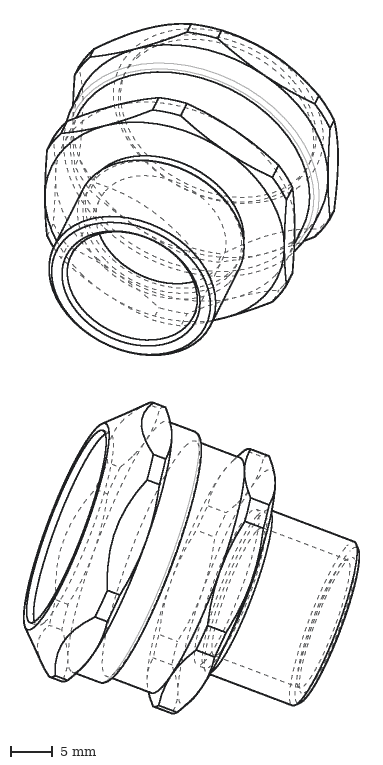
import cadquery as cq
import math


spigot_diameter = 20.9
spigot_length = 13.0
spigot_chamfer = 0.5
relief_diameter = spigot_diameter - 2 * spigot_chamfer
relief_length = 1.0

bore_diameter = 16.3
bore_depth = 11.5
bore_chamfer = 0.5

body_diameter = 30.0
body_hex_flats = body_diameter
body_hex_corners = 32.8
body_hex_length = 4.0
body_hex_bevel = 0.8

nut_diameter = 32.0
nut_hex_flats = nut_diameter
nut_hex_corners = 34.95
nut_front = 9.8
nut_collar_length = 4.0
nut_front_fillet = 0.5
nut_hex_front = nut_front + nut_collar_length
nut_hex_bevel = 0.8
nut_hex_corner_length = 1.6

back_end = 20.7
back_face_diameter = 26.3
recess_diameter = 24.5
recess_depth = 0.9


def revolve_profile(points):
    """Solid of revolution about Y from (radius, y) points that start and end on the axis."""
    return cq.Workplane("XY").polyline(points).close().revolve(360, (0, 0, 0), (0, 1, 0))


def cylinder(diameter, start, end):
    """Cylinder about Y between two Y positions."""
    circle = cq.Workplane("XZ", origin=(0, start, 0)).circle(diameter / 2)
    return circle.extrude(start - end)


def hex_prism(across_flats, start, end):
    """Hexagonal prism about Y with two flats facing +X and -X."""
    hexagon = cq.Workplane("XZ", origin=(0, start, 0)).polygon(6, across_flats / math.cos(math.pi / 6))
    return hexagon.extrude(start - end).rotate((0, 0, 0), (0, 1, 0), 30)


def make_spigot():
    tube = cylinder(spigot_diameter, -spigot_length, -relief_length)
    tube = tube.edges().chamfer(spigot_chamfer)
    relief = cylinder(relief_diameter, -relief_length - spigot_chamfer, 0)
    return tube.union(relief)


def make_body():
    barrel = cylinder(body_diameter, 0, nut_front)
    prism = hex_prism(body_hex_flats, 0, body_hex_length)
    end_radius = body_hex_flats / 2
    corner_radius = body_hex_corners / 2
    envelope = revolve_profile([
        (0, 0),
        (end_radius, 0),
        (corner_radius, body_hex_bevel),
        (corner_radius, body_hex_length - body_hex_bevel),
        (end_radius, body_hex_length),
        (0, body_hex_length),
    ])
    return barrel.union(prism.intersect(envelope))


def make_nut():
    collar = cylinder(nut_diameter, nut_front, nut_hex_front)
    collar = collar.faces("<Y").edges().fillet(nut_front_fillet)
    prism = hex_prism(nut_hex_flats, nut_hex_front, back_end)
    corner_radius = nut_hex_corners / 2
    corner_start = nut_hex_front + nut_hex_bevel
    envelope = revolve_profile([
        (0, nut_hex_front),
        (nut_hex_flats / 2, nut_hex_front),
        (corner_radius, corner_start),
        (corner_radius, corner_start + nut_hex_corner_length),
        (back_face_diameter / 2, back_end),
        (0, back_end),
    ])
    recess = cylinder(recess_diameter, back_end - recess_depth, back_end)
    return collar.union(prism.intersect(envelope)).cut(recess)


def make_bore():
    """Blind bore with a countersunk mouth."""
    mouth = -spigot_length
    floor = mouth + bore_depth
    radius = bore_diameter / 2
    return revolve_profile([
        (0, mouth),
        (radius + bore_chamfer, mouth),
        (radius, mouth + bore_chamfer),
        (radius, floor),
        (0, floor),
    ])


result = make_body().union(make_nut()).union(make_spigot()).cut(make_bore())